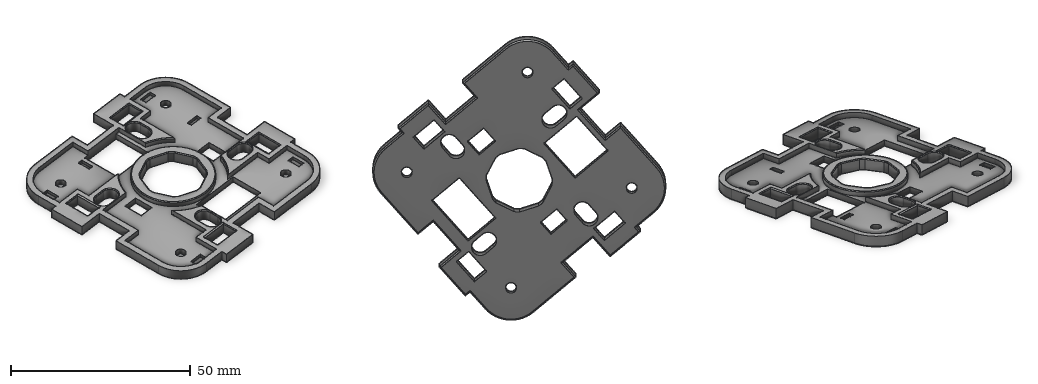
import cadquery as cq
import math

span = 67.0
thickness = 3.5
body_width = 63.5
corner_radius = 9.5
floor_height = 1.9
wall = 1.8
edge_break = 0.3
foot_chamfer = 0.4

notch_left = -6.5
notch_right = 4.55
notch_floor = 26.1
tab_right = 15.75

island_left = 4.8
island_inner_right = 11.7
island_outer_right = 15.95
island_step = 22.4
island_radius = 15.2

window_left = 6.5
window_right = 14.2
window_bottom = 24.25
window_top = 28.8
lead_in_width = 0.5
slot_x = 7.65
slot_y = 19.55
slot_width = 4.8
slot_length = 7.7

ring_diameter = 23.8
bore_across_flats = 17.6
bore_corner_diameter = 18.5

screw_diameter = 3.0
screw_offset = body_width / 2 - corner_radius

through_openings = [
    (-2.4, 12.9, 3.6, 17.95),
    (-2.4, -17.7, 3.6, -13.2),
    (wall - notch_floor, -9.7, -12.2, 3.6),
    (12.2, -4.1, 22.4, 11.45),
]

pocket_depth = 1.0
pocket_length = 4.0
rim_pocket_width = 2.0
rim_pocket_center = (21.2, 27.8)
inner_pocket_width = 1.5
inner_pocket_center = (-11.7, screw_offset)


def block(left, bottom, right, top, z_low, z_high):
    """Axis-aligned block between two corners."""
    return cq.Workplane("XY").box(
        right - left, top - bottom, z_high - z_low, centered=False
    ).translate((left, bottom, z_low))


def four_turns(shape):
    """The shape repeated at each quarter turn about Z."""
    turned = shape
    for quarter in range(1, 4):
        turned = turned.union(shape.rotate((0, 0, 0), (0, 0, 1), 90 * quarter))
    return turned


def rounded_square(width, radius, z_low, z_high):
    """Square plate with rounded vertical corners."""
    return (
        cq.Workplane("XY", origin=(0, 0, z_low))
        .rect(width, width)
        .extrude(z_high - z_low)
        .edges("|Z")
        .fillet(radius)
    )


def plate():
    """Solid plate with tabs, notches and a bevelled underside."""
    tab = block(notch_right, notch_floor, tab_right, span / 2, 0, thickness)
    notch = block(notch_left, notch_floor, notch_right, span / 2, 0, thickness)
    body = rounded_square(body_width, corner_radius, 0, thickness)
    body = body.union(four_turns(tab)).cut(four_turns(notch))
    return body.faces("<Z").edges().chamfer(foot_chamfer)


def island():
    """Raised area behind the +Y tab, ending in a chamfered arc around the ring."""
    outer = block(island_left, island_step, island_outer_right, span / 2, floor_height, thickness)
    inner = block(island_left, 0, island_inner_right, span / 2, floor_height, thickness)
    relief = (
        cq.Workplane("XY").circle(island_radius).extrude(thickness)
        .union(top_cone(island_radius, edge_break))
    )
    return inner.cut(relief).union(outer)


def top_cone(radius, growth):
    """Cone frustum at the top face that widens upward by the given growth."""
    return cq.Workplane(
        cq.Solid.makeCone(radius, radius + growth, growth, cq.Vector(0, 0, thickness - growth))
    )


def recess():
    """Space above the floor, leaving the rim, notch walls and islands standing."""
    space = rounded_square(body_width - 2 * wall, corner_radius - wall, floor_height, thickness)
    notch_wall = block(
        notch_left - wall, notch_floor - wall, island_left, span / 2, floor_height, thickness
    )
    return space.cut(four_turns(notch_wall.union(island())))


def tab_openings():
    """Window and slot through the +Y island, with broken upper edges."""
    window = block(window_left, window_bottom, window_right, window_top, 0, thickness)
    slot = (
        cq.Workplane("XY").center(slot_x, slot_y)
        .slot2D(slot_length, slot_width, 90).extrude(thickness)
    )
    return flared(window).union(flared(slot)).union(window_lead_in())


def window_lead_in():
    """Wider bevel on the side of the window that faces the ring."""
    return (
        cq.Workplane("YZ", origin=(window_left - edge_break, 0, 0))
        .moveTo(window_bottom, thickness)
        .lineTo(window_bottom - lead_in_width, thickness)
        .lineTo(window_bottom, thickness - edge_break)
        .close()
        .extrude(window_right - window_left + 2 * edge_break)
    )


def floor_pockets():
    """Four pockets beside the rim and two nearer the ring."""
    pocket_floor = floor_height - pocket_depth
    rim_pocket = (
        cq.Workplane("XY", origin=(*rim_pocket_center, pocket_floor))
        .rect(pocket_length, rim_pocket_width).extrude(pocket_depth)
    )
    inner_pocket = (
        cq.Workplane("XY", origin=(*inner_pocket_center, pocket_floor))
        .rect(inner_pocket_width, pocket_length).extrude(pocket_depth)
    )
    turned_pocket = inner_pocket.rotate((0, 0, 0), (0, 0, 1), 90)
    return four_turns(rim_pocket).union(inner_pocket).union(turned_pocket)


def flared(cutter):
    """Cutter widened at its top by the edge break."""
    flare = (
        cutter.faces(">Z").wires().toPending().workplane()
        .offset2D(edge_break, "intersection").extrude(-edge_break, taper=45)
    )
    return cutter.union(flare)


def bore():
    """Eight-sided bore with a corner on each axis."""
    octagon = (
        cq.Workplane("XY")
        .polygon(8, bore_across_flats / math.cos(math.pi / 8))
        .extrude(thickness)
    )
    corners = cq.Workplane("XY").circle(bore_corner_diameter / 2).extrude(thickness)
    return octagon.intersect(corners)


def ring():
    """Central ring with its outer upper edge broken."""
    return (
        cq.Workplane("XY").circle(ring_diameter / 2).extrude(thickness)
        .faces(">Z").edges().chamfer(edge_break)
    )


def screw_holes():
    """Four through holes, one in each corner."""
    return (
        cq.Workplane("XY").rect(2 * screw_offset, 2 * screw_offset, forConstruction=True)
        .vertices().circle(screw_diameter / 2).extrude(thickness)
    )


result = plate().cut(recess()).union(ring())
result = result.cut(flared(bore())).cut(four_turns(tab_openings()))
for left, bottom, right, top in through_openings:
    result = result.cut(block(left, bottom, right, top, 0, thickness))
result = result.cut(floor_pockets()).cut(screw_holes())